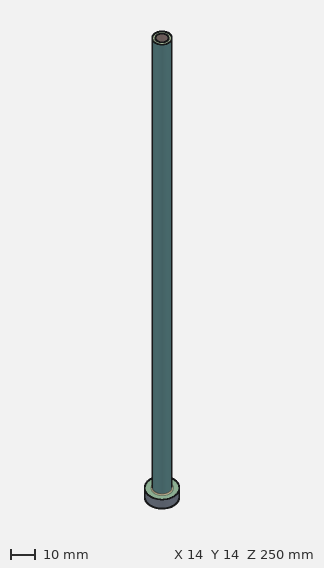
import cadquery as cq

total_length = 250.0
head_diameter = 14.0
head_height = 5.0
tube_diameter = 8.0
bore_diameter = 5.2
neck_fillet = 0.5

head_radius = head_diameter / 2
tube_radius = tube_diameter / 2
bore_radius = bore_diameter / 2

half_section = (
    cq.Workplane("XZ")
    .moveTo(bore_radius, 0)
    .lineTo(head_radius, 0)
    .lineTo(head_radius, head_height)
    .lineTo(tube_radius + neck_fillet, head_height)
    .radiusArc((tube_radius, head_height + neck_fillet), neck_fillet)
    .lineTo(tube_radius, total_length)
    .lineTo(bore_radius, total_length)
    .close()
)

result = half_section.revolve(360, (0, 0, 0), (0, 1, 0))